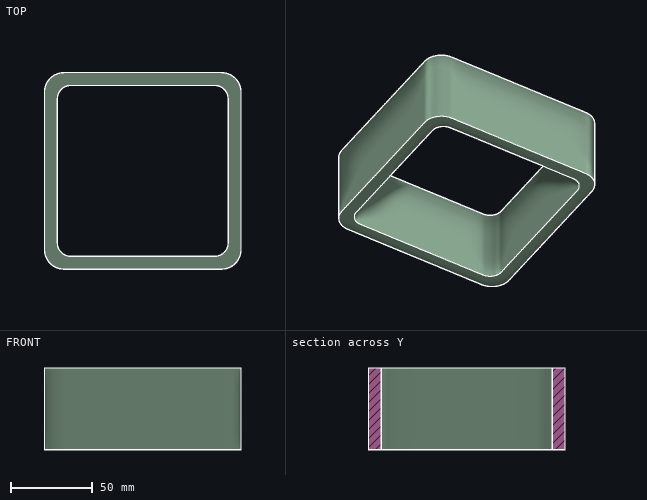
import cadquery as cq

side = 120.0
height = 50.0
wall = 8.0
outer_corner_radius = 12.0
inner_corner_radius = 8.0


def rounded_square_prism(width, corner_radius):
    """Upright square prism of full tube height with rounded vertical edges."""
    return (
        cq.Workplane("XY")
        .rect(width, width)
        .extrude(height)
        .edges("|Z")
        .fillet(corner_radius)
    )


outer_body = rounded_square_prism(side, outer_corner_radius)
bore = rounded_square_prism(side - 2 * wall, inner_corner_radius)

result = outer_body.cut(bore)